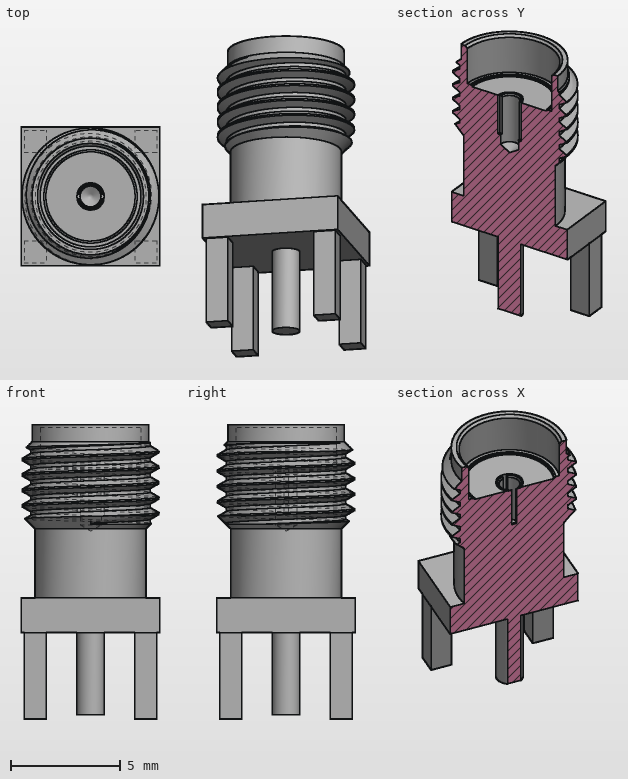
import cadquery as cq
import math

FLANGE_WIDTH = 6.35
FLANGE_HEIGHT = 1.588
LEG_WIDTH = 1.02
LEG_INSET = 0.14
LEG_LENGTH = 3.96
PIN_DIAMETER = 1.27
PIN_LENGTH = 3.76

TOTAL_HEIGHT = 13.46
TOP_Z = TOTAL_HEIGHT - LEG_LENGTH
BARREL_DIAMETER = 5.08
COLLAR_DIAMETER = 5.33
COLLAR_HEIGHT = 0.775
THREADED_LENGTH = 3.985
THREAD_TOP_Z = TOP_Z - COLLAR_HEIGHT
THREAD_BOTTOM_Z = THREAD_TOP_Z - THREADED_LENGTH
BARREL_SEAM_ANGLE = 90

INCH = 25.4
TURNS_PER_INCH = 36
THREAD_PITCH = INCH / TURNS_PER_INCH
THREAD_MAJOR_DIAMETER = 6.26
THREAD_ROOT_DIAMETER = 5.48
THREAD_ROOT_FLAT = THREAD_PITCH / 4
FLANK_ANGLE = 30
GROOVE_START_HEIGHT = 0.17
GROOVE_OVERCUT = 0.05

BORE_DIAMETER = 4.61
BORE_DEPTH = 1.95
BORE_CHAMFER = 0.12
SHOULDER_DIAMETER = 4.27
SHOULDER_DEPTH = 1.965
INSULATOR_DIAMETER = 4.08
INSULATOR_DEPTH = 2.035

CONTACT_DIAMETER = 1.24
CONTACT_RECESS = 0.03
CONTACT_DEPTH = INSULATOR_DEPTH + CONTACT_RECESS
CONTACT_HOLE_DIAMETER = 0.96
CONTACT_HOLE_DEPTH = 2.5
DRILL_POINT_ANGLE = 118
CONTACT_HOLE_CHAMFER = 0.07
CONTACT_SLOT_WIDTH = 0.22
CONTACT_SLOT_DEPTH = 2.0


def cylinder(diameter, bottom_z, top_z):
    """Solid cylinder on the Z axis between two heights."""
    return cq.Workplane("XY").workplane(offset=bottom_z).circle(diameter / 2).extrude(top_z - bottom_z)


def entry_chamfer(hole_diameter, size, top_z):
    """Cutter for a 45 degree chamfer at the mouth of a hole."""
    hole_radius = hole_diameter / 2
    base = cq.Vector(0, 0, top_z - size)
    return cq.Workplane(cq.Solid.makeCone(hole_radius, hole_radius + size, size, pnt=base))


def make_flange():
    """Square flange with a leg at each corner and the centre pin below it."""
    flange = cq.Workplane("XY").box(FLANGE_WIDTH, FLANGE_WIDTH, FLANGE_HEIGHT, centered=(True, True, False))
    leg_spacing = FLANGE_WIDTH - 2 * LEG_INSET - LEG_WIDTH
    legs = (
        cq.Workplane("XY")
        .rarray(leg_spacing, leg_spacing, 2, 2)
        .rect(LEG_WIDTH, LEG_WIDTH)
        .extrude(-LEG_LENGTH)
    )
    return flange.union(legs).union(cylinder(PIN_DIAMETER, -PIN_LENGTH, 0))


def make_barrel():
    """Turned barrel with the thread blank chamfered at 45 degrees at both ends."""
    barrel_radius = BARREL_DIAMETER / 2
    collar_radius = COLLAR_DIAMETER / 2
    major_radius = THREAD_MAJOR_DIAMETER / 2
    profile = [
        (0, FLANGE_HEIGHT),
        (barrel_radius, FLANGE_HEIGHT),
        (barrel_radius, THREAD_BOTTOM_Z),
        (major_radius, THREAD_BOTTOM_Z + major_radius - barrel_radius),
        (major_radius, THREAD_TOP_Z - (major_radius - collar_radius)),
        (collar_radius, THREAD_TOP_Z),
        (collar_radius, TOP_Z),
        (0, TOP_Z),
    ]
    barrel = cq.Workplane("XZ").polyline(profile).close().revolve(360, (0, 0, 0), (0, 1, 0))
    return barrel.rotate((0, 0, 0), (0, 0, 1), BARREL_SEAM_ANGLE)


def make_thread_groove():
    """Right-hand helical groove that starts on the -Y side and runs out past the top of the thread."""
    root_radius = THREAD_ROOT_DIAMETER / 2
    outer_radius = THREAD_MAJOR_DIAMETER / 2 + GROOVE_OVERCUT
    root_half_width = THREAD_ROOT_FLAT / 2
    outer_half_width = root_half_width + (outer_radius - root_radius) * math.tan(math.radians(FLANK_ANGLE))
    groove_height = THREADED_LENGTH - GROOVE_START_HEIGHT + THREAD_PITCH
    helix = cq.Workplane(cq.Wire.makeHelix(THREAD_PITCH, groove_height, root_radius))
    section = cq.Workplane("XZ").polyline([
        (root_radius, -root_half_width),
        (outer_radius, -outer_half_width),
        (outer_radius, outer_half_width),
        (root_radius, root_half_width),
    ]).close()
    groove = section.sweep(helix, isFrenet=True)
    return groove.rotate((0, 0, 0), (0, 0, 1), -90).translate((0, 0, THREAD_BOTTOM_Z + GROOVE_START_HEIGHT))


def make_socket():
    """Chamfered bore that steps in to the insulator, then to the end of the centre contact."""
    steps = [
        (BORE_DIAMETER, BORE_DEPTH),
        (SHOULDER_DIAMETER, SHOULDER_DEPTH),
        (INSULATOR_DIAMETER, INSULATOR_DEPTH),
        (CONTACT_DIAMETER, CONTACT_DEPTH),
    ]
    socket = entry_chamfer(BORE_DIAMETER, BORE_CHAMFER, TOP_Z)
    for diameter, depth in steps:
        socket = socket.union(cylinder(diameter, TOP_Z - depth, TOP_Z))
    return socket


def make_contact_hole():
    """Chamfered blind hole with a drill point in the centre contact."""
    hole_radius = CONTACT_HOLE_DIAMETER / 2
    contact_top_z = TOP_Z - CONTACT_DEPTH
    hole_bottom_z = contact_top_z - CONTACT_HOLE_DEPTH
    point_height = hole_radius / math.tan(math.radians(DRILL_POINT_ANGLE / 2))
    profile = [
        (0, hole_bottom_z - point_height),
        (hole_radius, hole_bottom_z),
        (hole_radius, contact_top_z),
        (0, contact_top_z),
    ]
    hole = cq.Workplane("XZ").polyline(profile).close().revolve(360, (0, 0, 0), (0, 1, 0))
    return hole.union(entry_chamfer(CONTACT_HOLE_DIAMETER, CONTACT_HOLE_CHAMFER, contact_top_z))


def make_contact_slot():
    """Slot along X that splits the contact, bounded by the contact diameter."""
    contact_top_z = TOP_Z - CONTACT_DEPTH
    slot_bottom_z = contact_top_z - CONTACT_SLOT_DEPTH
    slot = (
        cq.Workplane("XY")
        .workplane(offset=slot_bottom_z)
        .rect(2 * CONTACT_DIAMETER, CONTACT_SLOT_WIDTH)
        .extrude(CONTACT_SLOT_DEPTH)
    )
    return slot.intersect(cylinder(CONTACT_DIAMETER, slot_bottom_z, contact_top_z))


barrel = make_barrel().cut(make_thread_groove())
result = make_flange().union(barrel)
for cutter in (make_socket(), make_contact_hole(), make_contact_slot()):
    result = result.cut(cutter)